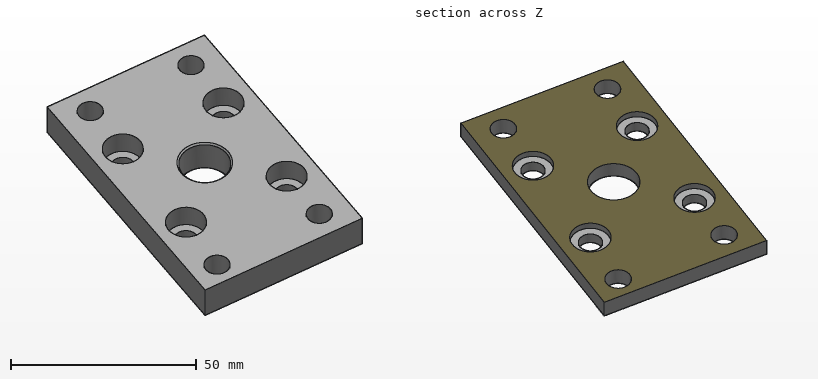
import cadquery as cq

length = 80
width = 50.0
thickness = 10.0

bore_diameter = 14.0
bore_chamfer = 0.5

screw_spacing = 32
screw_diameter = 6.6
head_diameter = 11.0
head_depth = 6.8

corner_diameter = 7.0
corner_x = 32.5
corner_y = screw_spacing / 2
offset_corner_x = 33.8
offset_corner_y = 17.3
corner_positions = [
    (-corner_x, corner_y),
    (corner_x, corner_y),
    (-corner_x, -corner_y),
    (offset_corner_x, -offset_corner_y),
]


def top_plane(body):
    """Workplane on the top face, centred on the plate."""
    return body.faces(">Z").workplane(origin=(0, 0, thickness))


def cut_bore(body):
    """Through bore with a 45 degree chamfer at both ends."""
    bore = cq.Workplane("XY").circle(bore_diameter / 2).extrude(thickness)
    mouth_radius = bore_diameter / 2 + bore_chamfer
    bottom_mouth = cq.Solid.makeCone(mouth_radius, bore_diameter / 2, bore_chamfer)
    top_mouth = bottom_mouth.mirror("XY").translate(cq.Vector(0, 0, thickness))
    return body.cut(bore).cut(cq.Workplane(bottom_mouth)).cut(cq.Workplane(top_mouth))


def cut_screw_holes(body):
    """Four counterbored holes, opening at the top."""
    pattern = top_plane(body).rarray(screw_spacing, screw_spacing, 2, 2)
    return pattern.cboreHole(screw_diameter, head_diameter, head_depth)


def cut_corner_holes(body):
    """Four plain through holes."""
    return top_plane(body).pushPoints(corner_positions).hole(corner_diameter)


plate = cq.Workplane("XY").box(length, width, thickness, centered=(True, True, False))
result = cut_corner_holes(cut_screw_holes(cut_bore(plate)))